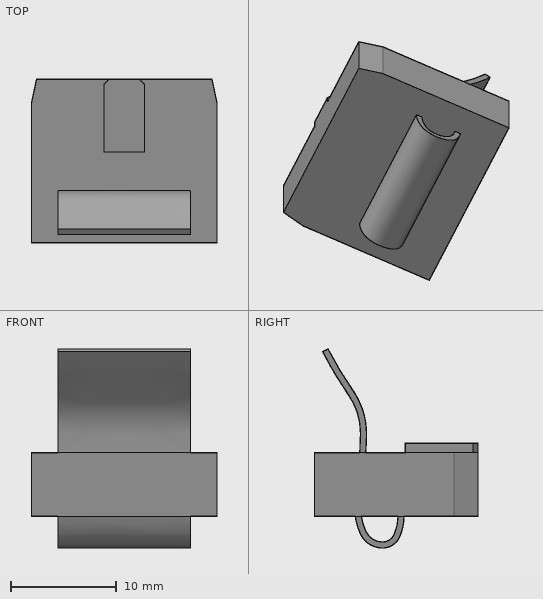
import cadquery as cq
import math

body_width = 17.6
body_depth = 15.5
body_height = 6.04
rear_taper_width = 0.49
rear_taper_depth = 2.3

key_width = 3.81
key_length = 6.9
key_height = 0.89
key_chamfer = 0.49

strip_width = 12.56
strip_thickness = 0.58
embed_depth = 0.57
blade_y = -3.17
blade_heading = 85.6
loop_y = 0.45
loop_heading = -90.0

blade_bends = [(23.39, 4.4), (6.87, 35.0), (33.0, -8.0)]
loop_bends = [(4.43, -25.0), (1.47, -65.0), (2.02, -65.0), (5.55, -17.0)]


def step(point, heading, distance):
    """Move a (Y, Z) point along a heading in degrees."""
    angle = math.radians(heading)
    return (point[0] + distance * math.cos(angle), point[1] + distance * math.sin(angle))


def bend_chain(start, heading, bends):
    """Return the (point, heading) stations at the start, middle and end of each bend."""
    stations = [(start, heading)]
    point = start
    for radius, turn in bends:
        half_turn = turn / 2
        half_chord = 2 * radius * math.sin(math.radians(abs(half_turn) / 2))
        for _ in range(2):
            point = step(point, heading + half_turn / 2, half_chord)
            heading += half_turn
            stations.append((point, heading))
    return stations


def bent_strip(start, heading, bends, end_lead=0.0):
    """Smooth strip of constant thickness, with straight leads that sink into the block."""
    stations = bend_chain(start, heading, bends)
    end_heading = stations[-1][1]
    half_thickness = strip_thickness / 2
    left = [step(point, angle + 90, half_thickness) for point, angle in stations]
    right = [step(point, angle - 90, half_thickness) for point, angle in stations]
    forward = [step((0, 0), angle, 1) for _, angle in stations]
    backward = [step((0, 0), angle, -1) for _, angle in stations]

    outline = cq.Workplane("YZ", origin=(-strip_width / 2, 0, 0))
    outline = outline.moveTo(*step(left[0], heading, -embed_depth)).lineTo(*left[0])
    outline = outline.spline(left[1:], tangents=forward, includeCurrent=True)
    if end_lead > 0:
        outline = outline.lineTo(*step(left[-1], end_heading, end_lead))
        outline = outline.lineTo(*step(right[-1], end_heading, end_lead))
    outline = outline.lineTo(*right[-1])
    outline = outline.spline(right[-2::-1], tangents=backward[::-1], includeCurrent=True)
    outline = outline.lineTo(*step(right[0], heading, -embed_depth))
    return outline.close().extrude(strip_width)


def housing():
    """Block whose two rear corners taper inward."""
    half_width = body_width / 2
    rear = body_depth / 2
    rear_half_width = half_width - rear_taper_width
    taper_start = rear - rear_taper_depth
    outline = [
        (-half_width, -rear),
        (half_width, -rear),
        (half_width, taper_start),
        (rear_half_width, rear),
        (-rear_half_width, rear),
        (-half_width, taper_start),
    ]
    return cq.Workplane("XY").polyline(outline).close().extrude(body_height)


def key_rib():
    """Rib with its two rear vertical edges chamfered."""
    center_y = (body_depth - key_length) / 2
    rib = (
        cq.Workplane("XY", origin=(0, center_y, 0))
        .rect(key_width, key_length)
        .extrude(body_height + key_height)
    )
    return rib.faces(">Y").edges("|Z").chamfer(key_chamfer)


blade = bent_strip((blade_y, body_height), blade_heading, blade_bends)
loop = bent_strip((loop_y, 0), loop_heading, loop_bends, end_lead=embed_depth)
result = housing().union(key_rib()).union(blade).union(loop)